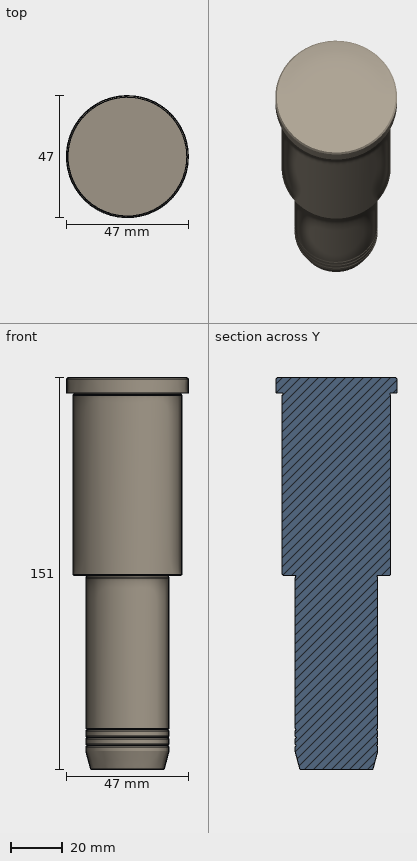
import cadquery as cq
import math

total_length = 151.0
head_height = 6.0
shoulder_z = 74.7
head_bottom = total_length - head_height

head_radius = 47.0 / 2
body_radius = 42.0 / 2
pin_radius = 32.0 / 2

head_chamfer = 0.6
body_chamfer = 0.5
tip_chamfer = 0.3
relief_depth = 0.3
relief_height = 0.9

taper_height = 7.1
taper_angle = 15.0

groove_count = 3
first_groove_z = 9.4
groove_pitch = 3.0
groove_width = 1.0
groove_depth = 0.5


def cylinder(radius, bottom, top):
    return cq.Workplane("XY").workplane(offset=bottom).circle(radius).extrude(top - bottom)


def revolve_profile(points):
    """Solid of revolution about Z from (radius, height) points."""
    return cq.Workplane("XZ").polyline(points).close().revolve(360, (0, 0), (0, 1))


def body_relief():
    """Undercut below the head: a short straight floor, then a sloped run-out."""
    slope_start = head_bottom - relief_height / 2
    slope_end = head_bottom - relief_height
    return revolve_profile([
        (body_radius + relief_depth, head_bottom),
        (body_radius - relief_depth, head_bottom),
        (body_radius - relief_depth, slope_start),
        (body_radius, slope_end),
        (body_radius + relief_depth, slope_end),
    ])


def pin_relief():
    """Conical undercut that narrows the pin towards the shoulder."""
    return revolve_profile([
        (pin_radius, shoulder_z),
        (pin_radius - relief_depth, shoulder_z),
        (pin_radius, shoulder_z - relief_height),
    ])


def groove_cutter(middle_z):
    """Ring of V section with its open side on the pin surface."""
    return revolve_profile([
        (pin_radius, middle_z - groove_width / 2),
        (pin_radius - groove_depth, middle_z),
        (pin_radius, middle_z + groove_width / 2),
    ])


def make_pin():
    """Straight pin with a conical, chamfered tip."""
    tip_radius = pin_radius - taper_height * math.tan(math.radians(taper_angle))
    profile = [
        (0, 0),
        (tip_radius, 0),
        (pin_radius, taper_height),
        (pin_radius, shoulder_z),
        (0, shoulder_z),
    ]
    pin = revolve_profile(profile)
    return pin.faces("<Z").chamfer(tip_chamfer)


head = cylinder(head_radius, head_bottom, total_length).faces(">Z").chamfer(head_chamfer)
body = cylinder(body_radius, shoulder_z, head_bottom).faces("<Z").chamfer(body_chamfer)
body = body.cut(body_relief())

pin = make_pin()
pin = pin.cut(pin_relief())
for index in range(groove_count):
    pin = pin.cut(groove_cutter(first_groove_z + index * groove_pitch))

result = head.union(body).union(pin)